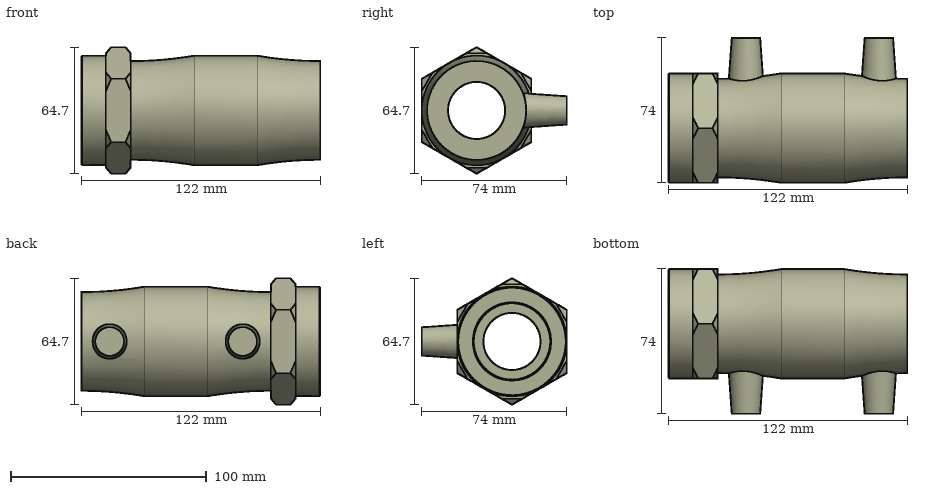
import cadquery as cq
import math

total_length = 122.0
nut_start = 12.6
nut_length = 12.7
nut_end = nut_start + nut_length
barrel_section = 32.2
shoulder_back = total_length - barrel_section
shoulder_front = shoulder_back - barrel_section

collar_radius = 56.0 / 2
neck_radius = 25.3
collar_chamfer = 0.6
shoulder_mid_radius = neck_radius + (collar_radius - neck_radius) / 4

passage_diameter = 29.0
socket_diameter = 38.9
socket_mouth_diameter = 40.0
socket_depth = 22.6

nut_across_flats = 2 * collar_radius
nut_across_corners = nut_across_flats / math.cos(math.pi / 6)
corner_cut_length = 2.7
corner_cut_depth = 3.2

overall_width = 74.0
terminal_tip = overall_width - collar_radius
terminal_tip_radius = 7.3
terminal_root_radius = 9.0
terminal_root = 22.0
terminal_positions = (39.6, 107.5)


def make_body():
    """Revolve the collar and the barrel with its two curved shoulders."""
    front_mid = (nut_end + shoulder_front) / 2
    back_mid = (shoulder_back + total_length) / 2
    return (
        cq.Workplane("XY")
        .moveTo(0, 0)
        .lineTo(0, collar_radius - collar_chamfer)
        .lineTo(collar_chamfer, collar_radius)
        .lineTo(nut_start, collar_radius)
        .lineTo(nut_start, neck_radius)
        .lineTo(nut_end, neck_radius)
        .threePointArc((front_mid, shoulder_mid_radius), (shoulder_front, collar_radius))
        .lineTo(shoulder_back, collar_radius)
        .threePointArc((back_mid, shoulder_mid_radius), (total_length, neck_radius))
        .lineTo(total_length, 0)
        .close()
        .revolve(360, (0, 0, 0), (1, 0, 0))
    )


def make_nut():
    """Make a hexagon with corners at +Z and -Z and a flat facet cut on each corner end."""
    corner = nut_across_corners / 2
    nut = (
        cq.Workplane("YZ", origin=(nut_start, 0, 0))
        .transformed(rotate=(0, 0, 90))
        .polygon(6, nut_across_corners)
        .extrude(nut_length)
    )
    for end, inward in ((nut_start, 1), (nut_end, -1)):
        facet = (
            cq.Workplane("XZ")
            .moveTo(end, corner - corner_cut_depth)
            .lineTo(end, corner)
            .lineTo(end + inward * corner_cut_length, corner)
            .close()
            .extrude(corner, both=True)
        )
        for index in range(6):
            nut = nut.cut(facet.rotate((0, 0, 0), (1, 0, 0), 60 * index))
    return nut


def make_terminal(x_position):
    """Make one tapered terminal pointing along +Y."""
    return (
        cq.Workplane("XY")
        .moveTo(x_position, terminal_root)
        .lineTo(x_position + terminal_root_radius, terminal_root)
        .lineTo(x_position + terminal_tip_radius, terminal_tip)
        .lineTo(x_position, terminal_tip)
        .close()
        .revolve(360, (x_position, 0, 0), (x_position, 1, 0))
    )


def make_bores():
    """Make the through passage and the wider socket with its chamfered mouth."""
    mouth_chamfer = (socket_mouth_diameter - socket_diameter) / 2
    return (
        cq.Workplane("XY")
        .lineTo(0, socket_mouth_diameter / 2)
        .lineTo(mouth_chamfer, socket_diameter / 2)
        .lineTo(socket_depth, socket_diameter / 2)
        .lineTo(socket_depth, passage_diameter / 2)
        .lineTo(total_length, passage_diameter / 2)
        .lineTo(total_length, 0)
        .close()
        .revolve(360, (0, 0, 0), (1, 0, 0))
    )


part = make_body().union(make_nut())
for terminal_position in terminal_positions:
    part = part.union(make_terminal(terminal_position))

result = part.cut(make_bores())